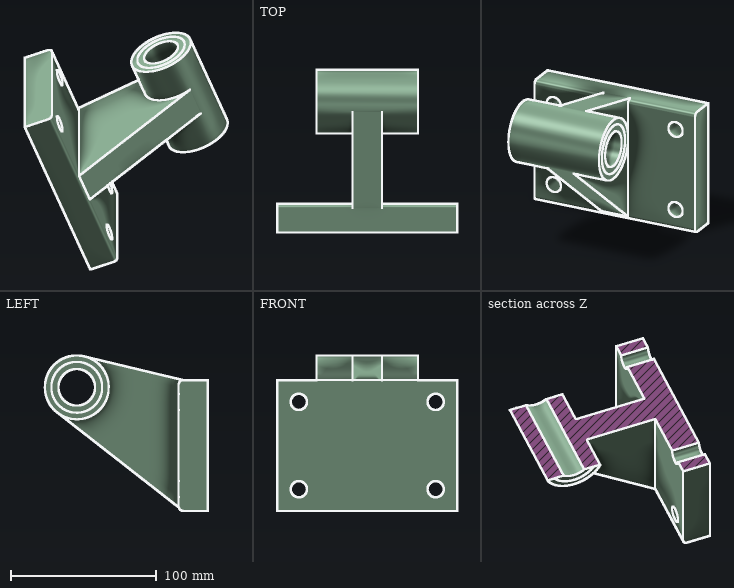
import cadquery as cq
import math

plate_width = 124
plate_height = 90
plate_thickness = 20
plate_edge_radius = 3.2

bolt_hole_diameter = 11
bolt_edge_distance = 15
bolt_spacing_x = plate_width - 2 * bolt_edge_distance
bolt_spacing_z = plate_height - 2 * bolt_edge_distance

barrel_diameter = 44
barrel_length = 70
barrel_y = 90
barrel_z = 85
bore_diameter = 25

recess_diameter = 35
recess_depth = 0.1

web_thickness = 20.5
web_inset = 0.1
web_tangent_radius = barrel_diameter / 2 - web_inset


def x_cylinder(diameter, start_x, length):
    """Cylinder along X on the barrel axis."""
    disc = cq.Workplane("YZ", origin=(start_x, barrel_y, barrel_z)).circle(diameter / 2)
    return disc.extrude(length)


def web_tangent_point(point, side):
    """Point where a line from `point` touches the web circle; side is +1 (top) or -1 (bottom)."""
    offset_y = point[0] - barrel_y
    offset_z = point[1] - barrel_z
    distance = math.hypot(offset_y, offset_z)
    angle = math.atan2(offset_z, offset_y) - side * math.acos(web_tangent_radius / distance)
    touch_y = barrel_y + web_tangent_radius * math.cos(angle)
    touch_z = barrel_z + web_tangent_radius * math.sin(angle)
    return (touch_y, touch_z)


def make_plate():
    plate = cq.Workplane("XY").box(
        plate_width, plate_thickness, plate_height, centered=(True, False, False)
    )
    plate = plate.edges("|X and >Y").fillet(plate_edge_radius)
    bolt_holes = (
        cq.Workplane("XZ", origin=(0, 0, plate_height / 2))
        .rect(bolt_spacing_x, bolt_spacing_z, forConstruction=True)
        .vertices()
        .circle(bolt_hole_diameter / 2)
        .extrude(-plate_thickness)
    )
    return plate.cut(bolt_holes)


def make_web():
    """Tapered web, nearly tangent to the barrel and meeting the plate where its rounded edges begin."""
    foot_y = plate_thickness - plate_edge_radius
    top_foot = (foot_y, plate_height)
    bottom_foot = (foot_y, 0)
    outline = [
        bottom_foot,
        web_tangent_point(bottom_foot, -1),
        (barrel_y, barrel_z),
        web_tangent_point(top_foot, 1),
        top_foot,
    ]
    return cq.Workplane("YZ").polyline(outline).close().extrude(web_thickness / 2, both=True)


def make_barrel():
    return x_cylinder(barrel_diameter, -barrel_length / 2, barrel_length)


def cut_bore(body):
    body = body.cut(x_cylinder(bore_diameter, -barrel_length / 2, barrel_length))
    for start_x in (-barrel_length / 2, barrel_length / 2 - recess_depth):
        body = body.cut(x_cylinder(recess_diameter, start_x, recess_depth))
    return body


bracket = make_plate().union(make_web()).union(make_barrel())
result = cut_bore(bracket)